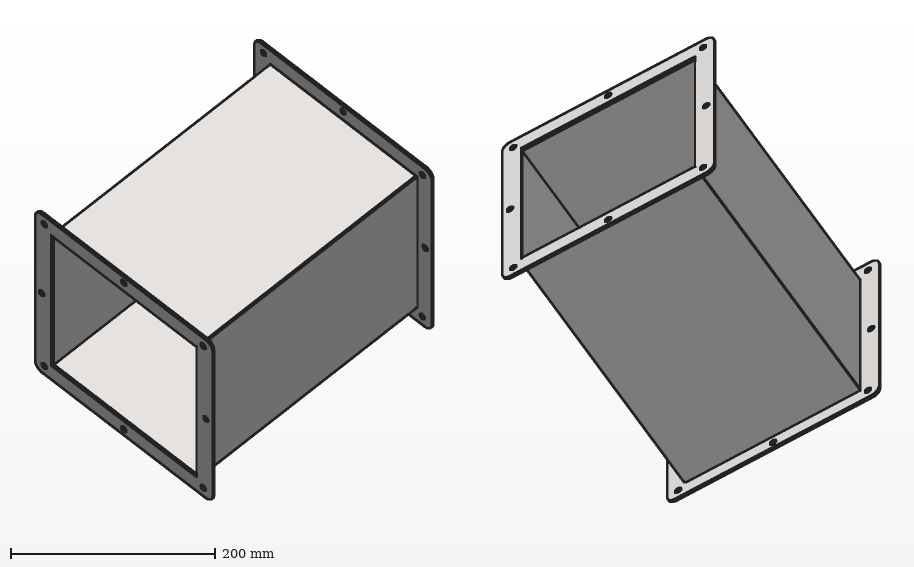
import cadquery as cq
import math

length = 308.0
flange_size = 244.5

flange_opening = 201.0
flange_thickness = 2.8
flange_corner_radius = 9.5
bolt_diameter = 7.0
corner_bolt_offset = 109.5
middle_bolt_offset = 113.3

duct_opening = 199.5
sheet_thickness = 2.2
bend_inner_radius = 0.5
duct_offset = 1.0

duct_length = length - 2 * flange_thickness
half_opening = duct_opening / 2
half_duct = half_opening + sheet_thickness
bend_outer_radius = bend_inner_radius + sheet_thickness
corner_shift = bend_outer_radius * (1 - math.sqrt(0.5))
inner_corner_shift = bend_inner_radius * (1 - math.sqrt(0.5))


def bolt_positions():
    """The eight bolt centres: four corners and four side middles."""
    c = corner_bolt_offset
    m = middle_bolt_offset
    corners = [(x, z) for x in (-c, c) for z in (-c, c)]
    middles = [(-m, 0), (m, 0), (0, -m), (0, m)]
    return corners + middles


def make_flange(front_y):
    """Square frame with its front face at front_y and its back towards +Y."""
    plate = (
        cq.Workplane("XZ", origin=(0, front_y, 0))
        .rect(flange_size, flange_size)
        .extrude(-flange_thickness)
        .edges("|Y")
        .fillet(flange_corner_radius)
    )
    cutter = (
        cq.Workplane("XZ", origin=(0, front_y, 0))
        .rect(flange_opening, flange_opening)
        .pushPoints(bolt_positions())
        .circle(bolt_diameter / 2)
        .extrude(-flange_thickness)
    )
    return plate.cut(cutter)


def make_bent_sheet(side, free_end):
    """L-shaped sheet bent at the corner (-side, side).

    Its two legs end at the distance free_end from the duct axis.
    """
    def point(x, z):
        return (side * x, side * z)

    outer_tangent = half_duct - bend_outer_radius
    outer_middle = half_duct - corner_shift
    inner_tangent = half_opening - bend_inner_radius
    inner_middle = half_opening - inner_corner_shift
    return (
        cq.Workplane("XZ", origin=(duct_offset, -duct_length / 2, -duct_offset))
        .moveTo(*point(free_end, half_duct))
        .lineTo(*point(-outer_tangent, half_duct))
        .threePointArc(point(-outer_middle, outer_middle), point(-half_duct, outer_tangent))
        .lineTo(*point(-half_duct, -free_end))
        .lineTo(*point(-half_opening, -free_end))
        .lineTo(*point(-half_opening, inner_tangent))
        .threePointArc(point(-inner_middle, inner_middle), point(-inner_tangent, half_opening))
        .lineTo(*point(free_end, half_opening))
        .close()
        .extrude(-duct_length)
    )


flanges = [make_flange(y) for y in (-length / 2, length / 2 - flange_thickness)]

upper_left_sheet = make_bent_sheet(1, half_opening)
lower_right_sheet = make_bent_sheet(-1, half_duct)

result = cq.Compound.makeCompound(
    [flange.val() for flange in flanges] + [upper_left_sheet.val(), lower_right_sheet.val()]
)